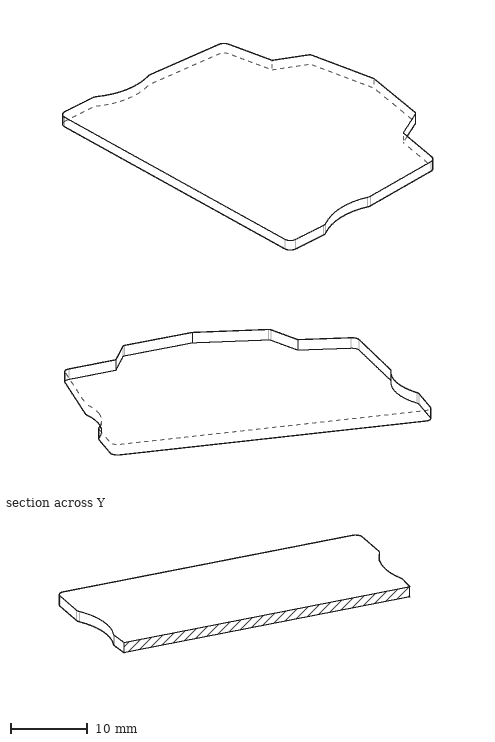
import cadquery as cq

width = 43.6
height = 35.8
thickness = 1.5
half_width = width / 2

foot_top = 6.32
waist_x, waist_y = 20.15, 11.7
side_x, side_bottom = 20.8, 15.17
corner_x, corner_y = 19.95, 27.77
notch_x, notch_y = 12.4, 29.3
crown_x, crown_y = 10.0, 33.88

corner_radius = 1.0
crown_radius = 0.45


def build_plate():
    """Extrude the symmetric outline, with a concave arc in each side."""
    return (
        cq.Workplane("XY")
        .moveTo(-half_width, 0)
        .lineTo(half_width, 0)
        .lineTo(half_width, foot_top)
        .threePointArc((waist_x, waist_y), (side_x, side_bottom))
        .lineTo(corner_x, corner_y)
        .lineTo(notch_x, notch_y)
        .lineTo(crown_x, crown_y)
        .lineTo(0, height)
        .lineTo(-crown_x, crown_y)
        .lineTo(-notch_x, notch_y)
        .lineTo(-corner_x, corner_y)
        .lineTo(-side_x, side_bottom)
        .threePointArc((-waist_x, waist_y), (-half_width, foot_top))
        .close()
        .extrude(thickness)
    )


def round_corner_pair(plate, x, y, radius):
    """Round the two mirrored upright edges at (x, y) and (-x, y)."""
    for side in (-1, 1):
        corner = cq.Vector(side * x, y, thickness / 2)
        plate = plate.edges("|Z").edges(cq.NearestToPointSelector(corner.toTuple())).fillet(radius)
    return plate


result = build_plate()
result = round_corner_pair(result, half_width, 0, corner_radius)
result = round_corner_pair(result, half_width, foot_top, corner_radius)
result = round_corner_pair(result, side_x, side_bottom, corner_radius)
result = round_corner_pair(result, corner_x, corner_y, corner_radius)
result = round_corner_pair(result, crown_x, crown_y, crown_radius)